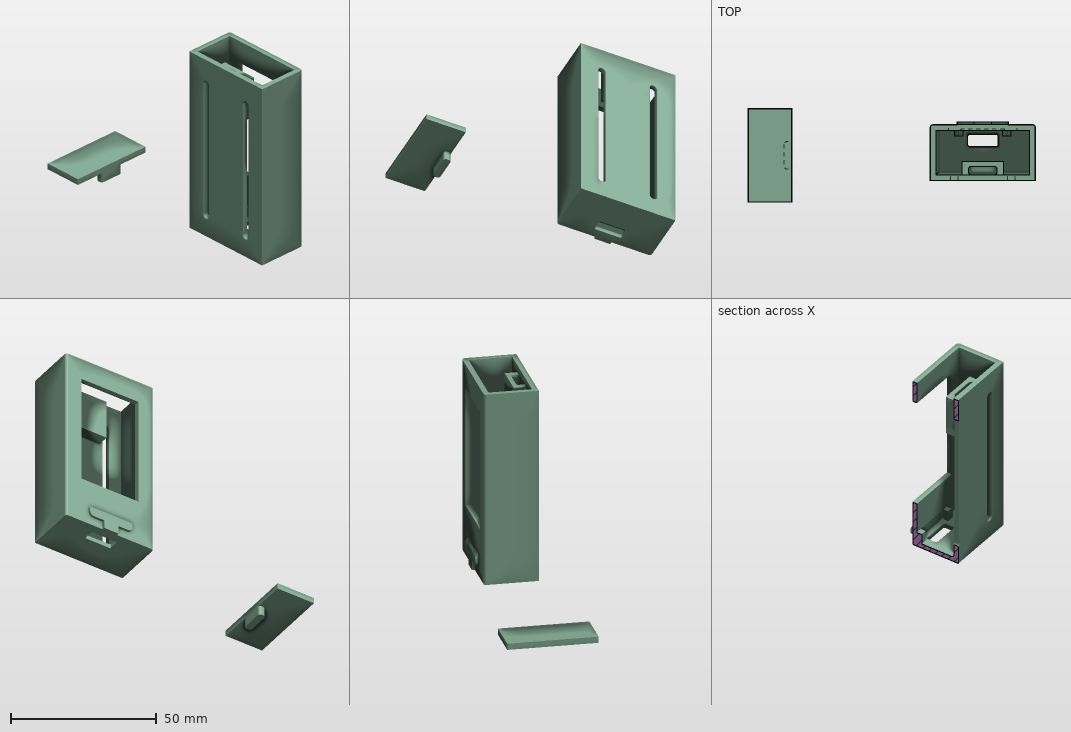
import cadquery as cq


overall_length = 98.4
housing_width = 36.0
housing_depth = 19.2
housing_height = 69.8
wall = 2.0
floor_thickness = 2.0

housing_right = overall_length
housing_left = housing_right - housing_width
center_x = housing_right - housing_width / 2
inner_left = housing_left + wall
inner_width = housing_width - 2 * wall
inner_depth = housing_depth - 2 * wall
inner_back = housing_depth - wall

back_corner_radius = 1.0
floor_fillet = 1.0
rim_margin = 0.1

slot_width = 2.6
slot_spacing = 19.6
slot_rim_round = 0.5
slot_bottom = 7.1
slot_top = 61.2

window_width = 23.4
window_bottom = 18.2
window_top = 61.2

port_width = 10.4
port_depth = 4.1
port_center_y = 13.8
port_corner_radius = 0.6
port_rim_round = 0.6

lid_thickness = 2.3
lid_width = 15.0
lid_length = 32.1
lid_front = -7.4
tab_width = 2.7
tab_length = 9.4
tab_height = 3.7
tab_corner_radius = 1.0
tab_clearance = 0.15

boss_width = 14.3
boss_depth = 4.5
boss_height = 15.45
boss_top = housing_height - lid_thickness - tab_clearance
socket_width = tab_length + 2 * tab_clearance
socket_depth = tab_width + 2 * tab_clearance
socket_height = tab_height + 2 * tab_clearance

post_inner = 6.8
post_width = 2.9
post_depth = 2.0
post_top = 6.1
post_round = 1.3
recess_top = post_top
recess_width = 15.0
recess_depth = 0.5

relief_height = 1.0
rib_width = 5.9
rib_top = 7.5
arm_length = 5.8
arm_bottom = 3.2
arm_top = 8.2
arm_ramp = 1.5
arm_top_round = 1.0
arm_bottom_round = 1.8


def box(width, depth, height, left, front, bottom):
    """Axis-aligned block given by its size and its lowest corner."""
    block = cq.Workplane("XY").box(width, depth, height, centered=False)
    return block.translate((left, front, bottom))


def centered_box(width, depth, height, front, bottom):
    """Block placed symmetrically about the housing's middle plane."""
    return box(width, depth, height, center_x - width / 2, front, bottom)


def make_shell():
    """Open-topped box with rounded back corners and two rounded floor edges."""
    shell = box(housing_width, housing_depth, housing_height, housing_left, 0, 0)
    shell = shell.edges("|Z and >Y").fillet(back_corner_radius)
    cavity_height = housing_height - floor_thickness
    cavity = box(inner_width, inner_depth, cavity_height, inner_left, wall, floor_thickness)
    cavity = cavity.edges("<Z and (<X or <Y)").fillet(floor_fillet)
    return shell.cut(cavity)


def make_slot(x):
    """Upright round-ended opening through the front wall, its outer rim rounded over."""
    length = slot_top - slot_bottom
    middle_z = (slot_top + slot_bottom) / 2
    plane = cq.Workplane("XZ", origin=(x, 0, middle_z))
    return plane.slot2D(length, slot_width, 90).extrude(-wall)


def make_port():
    """Plug opening through the floor with rounded corners."""
    bottom_plane = cq.Workplane("XY", origin=(center_x, port_center_y, 0))
    port = bottom_plane.rect(port_width, port_depth).extrude(floor_thickness)
    return port.edges("|Z").fillet(port_corner_radius)


def round_over(body, opening, rim, radius):
    """Cut the opening and round its rim, the face of the opening that the selector names."""
    rim_box = opening.faces(rim).val().BoundingBox()
    lowest = (rim_box.xmin - rim_margin, rim_box.ymin - rim_margin, rim_box.zmin - rim_margin)
    highest = (rim_box.xmax + rim_margin, rim_box.ymax + rim_margin, rim_box.zmax + rim_margin)
    rim_edges = cq.selectors.BoxSelector(lowest, highest, boundingbox=True)
    return body.cut(opening).edges(rim_edges).fillet(radius)


def make_boss():
    """Block inside the front wall with a socket for the lid's tab."""
    bottom = boss_top - boss_height
    boss = centered_box(boss_width, boss_depth, boss_height, wall, bottom)
    socket_bottom = boss_top - socket_height
    socket = centered_box(socket_width, socket_depth, socket_height, wall, socket_bottom)
    socket = socket.edges("|Z").fillet(tab_corner_radius)
    return boss.cut(socket)


def make_recess():
    """Shallow recess in the inner face of the back wall, just above the floor."""
    height = recess_top - floor_thickness
    return centered_box(recess_width, recess_depth, height, inner_back, floor_thickness)


def make_post(side):
    """Post on the floor against the back wall, its outer top edge rounded; side is -1 or 1."""
    height = post_top - floor_thickness
    left = center_x + (post_inner if side > 0 else -post_inner - post_width)
    post = box(post_width, post_depth, height, left, inner_back - post_depth, floor_thickness)
    outer_top_edge = "|Y and >Z and >X" if side > 0 else "|Y and >Z and <X"
    return post.edges(outer_top_edge).fillet(post_round)


def make_arm(side):
    """Arm beside the rib with a sloping top and a rounded outer end; side is -1 or 1."""
    outer = housing_depth + relief_height
    shoulder = arm_top - arm_ramp
    buried_top = arm_top + arm_ramp * wall / relief_height
    profile = [
        (inner_back, arm_bottom),
        (outer, arm_bottom),
        (outer, shoulder),
        (inner_back, buried_top),
    ]
    root_x = center_x + side * rib_width / 2
    root_plane = cq.Workplane("YZ", origin=(root_x, 0, 0))
    arm = root_plane.polyline(profile).close().extrude(side * arm_length)
    end = ">X" if side > 0 else "<X"
    arm = arm.edges(f"|Y and <Z and {end}").fillet(arm_bottom_round)
    slope = cq.selectors.ParallelDirSelector(cq.Vector(0, relief_height, -arm_ramp))
    return arm.faces(end).edges(slope).fillet(arm_top_round)


def make_rib():
    """Upright rib between the arms with a rounded top edge."""
    rib = centered_box(rib_width, wall + relief_height, rib_top, inner_back, 0)
    return rib.edges(">Y and >Z").fillet(relief_height)


def make_housing():
    housing = make_shell()
    for side in (-1, 1):
        slot = make_slot(center_x + side * slot_spacing / 2)
        housing = round_over(housing, slot, "<Y", slot_rim_round)
    housing = round_over(housing, make_port(), ">Z", port_rim_round)

    window_height = window_top - window_bottom
    housing = housing.cut(centered_box(window_width, wall, window_height, inner_back, window_bottom))

    housing = housing.union(make_boss())
    housing = housing.union(make_rib())
    for side in (-1, 1):
        housing = housing.union(make_arm(side))
    housing = housing.cut(make_recess())
    for side in (-1, 1):
        housing = housing.union(make_post(side))

    return housing


def make_lid():
    """Flat plate with a tab hanging from its right edge."""
    plate = box(lid_width, lid_length, lid_thickness, 0, lid_front, 0)
    tab_front = lid_front + (lid_length - tab_length) / 2
    tab = box(tab_width, tab_length, tab_height, lid_width - tab_width, tab_front, -tab_height)
    tab = tab.edges("|Z").fillet(tab_corner_radius)
    return plate.union(tab)


housing = make_housing()
lid = make_lid()
result = cq.Compound.makeCompound([housing.val(), lid.val()])